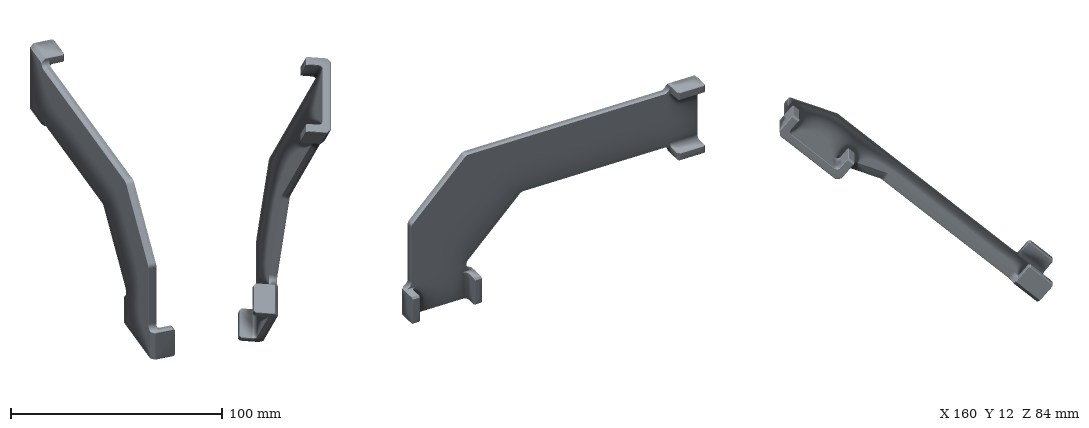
import cadquery as cq

length = 160.0
depth = 12.0
height = 84.0

thickness = 4.0
arm_width = 30.0
clip_length = 15.0
clip_width = arm_width + 2 * thickness

corner_radius = 3.0
clip_inner_radius = 2.0
clip_outer_chamfer = 2.0
flange_tip_chamfer = 1.0
edge_break = 0.24

arm_top = height - thickness
arm_bottom = arm_top - arm_width
leg_right = length - thickness
leg_left = leg_right - arm_width


def edge_nearest(body, point):
    """The edge of the body whose middle lies closest to the point."""
    return body.edges(cq.selectors.NearestToPointSelector(point))


def fillet_through_edges(body, corners):
    """Fillet the edges that cross the plate thickness at the given (x, z) corners."""
    for x, z in corners:
        edge = edge_nearest(body.edges("|Y"), (x, thickness / 2, z))
        body = edge.fillet(corner_radius)
    return body


def make_plate():
    """Flat arm turning down into the leg, with both bend corners cut at 45 degrees."""
    outline = [
        (0, arm_bottom),
        (leg_left - arm_width, arm_bottom),
        (leg_left, arm_bottom - arm_width),
        (leg_left, 0),
        (leg_right, 0),
        (leg_right, arm_top - arm_width),
        (leg_left, arm_top),
        (0, arm_top),
    ]
    plate = cq.Workplane("XZ").polyline(outline).close().extrude(-thickness)
    bend_corners = [outline[1], outline[2], outline[5], outline[6]]
    return fillet_through_edges(plate, bend_corners)


def make_clip():
    """U-shaped clip along +X from the origin, its web on y = 0 and its width along +Z."""
    clip = cq.Workplane("XY").box(clip_length, depth, clip_width, centered=False)
    clip = clip.edges("|X and <Y").chamfer(clip_outer_chamfer)
    channel = (
        cq.Workplane("XY")
        .box(clip_length, depth, arm_width, centered=False)
        .translate((0, thickness, thickness))
        .edges("|X and <Y")
        .fillet(clip_inner_radius)
    )
    clip = clip.cut(channel)
    channel_end = edge_nearest(clip, (clip_length, thickness, clip_width / 2))
    clip = channel_end.chamfer(edge_break)
    clip = clip.edges("|Z and >Y").chamfer(flange_tip_chamfer)
    return clip.faces(">Y").edges("|X").chamfer(edge_break)


def front_outline(body):
    """Edges around the front face, without the lines along the clip chamfers."""
    arm_clip_lines = body.faces("<Y").edges("|X").edges("<X")
    leg_clip_lines = body.faces("<Y").edges("|Z").edges("<Z")
    clip_lines = arm_clip_lines.add(leg_clip_lines).vals()
    outline = body.faces("<Y").edges().vals()
    return [edge for edge in outline if not any(edge.isSame(line) for line in clip_lines)]


def inner_end_edges(body):
    """Flange and chamfer edges at the clip ends that face the arm and the leg."""
    half_chamfer = clip_outer_chamfer / 2
    profile_points = [
        (depth / 2, 0),
        (half_chamfer, half_chamfer),
        (half_chamfer, clip_width - half_chamfer),
        (depth / 2, clip_width),
    ]
    edges = []
    for y, offset in profile_points:
        edges += edge_nearest(body, (clip_length, y, height - offset)).vals()
        edges += edge_nearest(body, (length - offset, y, clip_length)).vals()
    return edges


def break_sharp_edges(body):
    """Lightly chamfer the front outline and the clip ends."""
    edges = front_outline(body)
    edges += inner_end_edges(body)
    edges += body.faces("<X or <Z").edges("not (<Y or >Y)").vals()
    return body.newObject(edges).chamfer(edge_break)


arm_clip = make_clip().translate((0, 0, height - clip_width))
leg_clip = make_clip().rotate((0, 0, 0), (0, 1, 0), -90).translate((length, 0, 0))

clip_necks = [
    (clip_length, arm_top),
    (clip_length, arm_bottom),
    (leg_left, clip_length),
    (leg_right, clip_length),
]
body = make_plate().union(arm_clip).union(leg_clip)
body = fillet_through_edges(body, clip_necks)
result = break_sharp_edges(body)